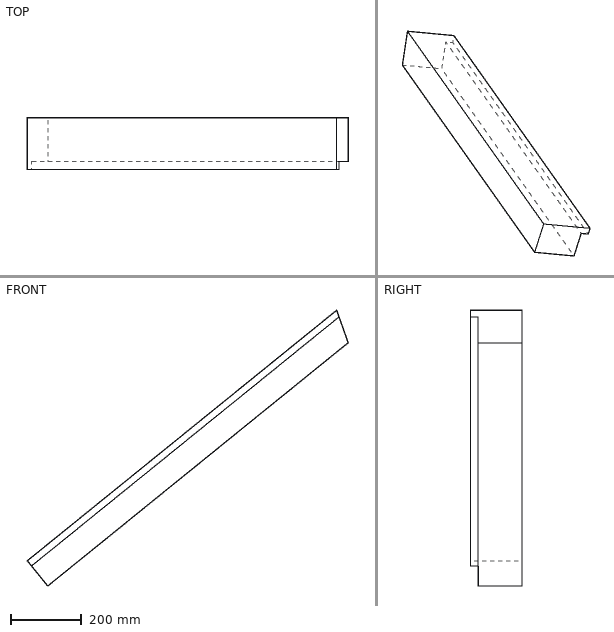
import cadquery as cq
import math


slope = 39.0
beam_width = 146.05
beam_depth = 92.075
top_length = 1123.235
lip_thickness = 19.05
rebate_width = 22.225

miter_setback = beam_depth * math.tan(math.radians(slope / 2))
bottom_length = top_length - miter_setback


def make_beam():
    """Level beam with its top lower-left edge on the Y axis, centred on Y."""
    outline = [
        (0, 0),
        (top_length, 0),
        (bottom_length, -beam_depth),
        (0, -beam_depth),
    ]
    return cq.Workplane("XZ").polyline(outline).close().extrude(beam_width / 2, both=True)


def make_rebate():
    """Full-length cutter for the material below the lip on the -Y side."""
    return cq.Workplane("XY").box(
        top_length, rebate_width, beam_depth - lip_thickness, centered=False
    ).translate((0, -beam_width / 2, -beam_depth))


def tilt_to_slope(body):
    """Raise the upper (+X) end about the Y axis."""
    return body.rotate((0, 0, 0), (0, 1, 0), -slope)


result = tilt_to_slope(make_beam().cut(make_rebate()))